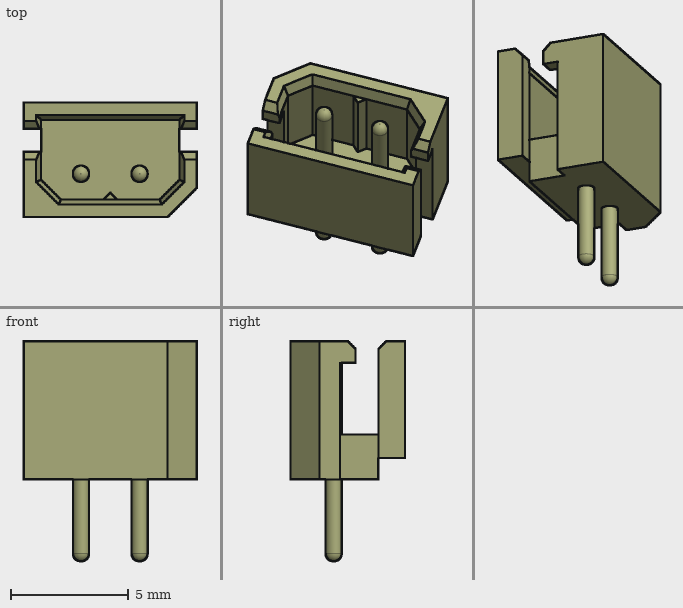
import cadquery as cq
import math

width = 7.4
depth = 4.9
height = 5.9
pin_row_from_back = 3.05
back = pin_row_from_back
front = back - depth
key_corner_leg = 1.25

wall = 0.75
floor_z = 1.92
cavity_corner_leg = 0.84
lead_in_width = 0.21
lead_in_depth = 0.5
rib_height = 0.29

back_wall_depth = 1.14
slot_mouth = 0.97
hook_reach = 0.66
hook_height = 0.93
slot_chamfer = 0.34

step_height = 0.9

pin_diameter = 0.7
pin_pitch = 2.5
pin_count = 2
pin_bottom = -3.5
pin_top = 5.4
pin_end_round = 0.34

cavity_half_width = width / 2 - wall
cavity_back = back - wall
cavity_front = front + wall
lead_in_bottom = height - lead_in_depth
slot_back = back - back_wall_depth
hook_tip = slot_back - slot_mouth
slot_front = hook_tip - hook_reach


def make_shell():
    """Plain outer block with its one keyed vertical corner."""
    block = cq.Workplane("XY").box(width, depth, height, centered=(True, False, False))
    block = block.translate((0, front, 0))
    return block.edges("|Z and >X and <Y").chamfer(key_corner_leg)


def cavity_outline(offset):
    """Cavity corner points, moved outward from the lower cavity by offset."""
    half = cavity_half_width + offset
    y_back = cavity_back + offset
    y_front = cavity_front - offset
    leg = cavity_corner_leg + offset * (2 - math.sqrt(2))
    return [
        (-half, y_back),
        (half, y_back),
        (half, y_front + leg),
        (half - leg, y_front),
        (-half + leg, y_front),
        (-half, y_front + leg),
    ]


def make_cavity():
    """Straight cavity with a sloped lead-in at its mouth."""
    straight = cq.Workplane("XY", origin=(0, 0, floor_z))
    straight = straight.polyline(cavity_outline(0)).close().extrude(height - floor_z)
    mouth = (
        cq.Workplane("XY", origin=(0, 0, lead_in_bottom))
        .polyline(cavity_outline(0))
        .close()
        .workplane(offset=lead_in_depth)
        .polyline(cavity_outline(lead_in_width))
        .close()
        .loft(ruled=True)
    )
    return straight.union(mouth)


def make_side_slot(side):
    """Slot through one side wall; it leaves a hook at the top of the front part."""
    outline = [
        (slot_back, 0),
        (slot_back, height - slot_chamfer),
        (slot_back + slot_chamfer, height),
        (hook_tip - slot_chamfer, height),
        (hook_tip, height - slot_chamfer),
        (hook_tip, height - hook_height),
        (slot_front, height - hook_height),
        (slot_front, 0),
    ]
    slot = cq.Workplane("YZ", origin=(side * cavity_half_width, 0, 0))
    return slot.polyline(outline).close().extrude(side * wall)


def make_back_step():
    """Clearance under the back wall, across the full width."""
    step = cq.Workplane("XY").box(width, back_wall_depth, step_height, centered=(True, False, False))
    return step.translate((0, slot_back, 0))


def make_rib():
    """Triangular rib on the inside of the front wall, up to the lead-in."""
    outline = [
        (-rib_height, cavity_front),
        (rib_height, cavity_front),
        (0, cavity_front + rib_height),
    ]
    rib = cq.Workplane("XY", origin=(0, 0, floor_z))
    return rib.polyline(outline).close().extrude(lead_in_bottom - floor_z)


def make_pin(x):
    """Round pin with domed ends, running through the floor."""
    pin = cq.Workplane("XY", origin=(x, 0, pin_bottom))
    pin = pin.circle(pin_diameter / 2).extrude(pin_top - pin_bottom)
    return pin.edges("%CIRCLE").fillet(pin_end_round)


result = make_shell().cut(make_cavity()).cut(make_back_step())
for side in (-1, 1):
    result = result.cut(make_side_slot(side))
result = result.union(make_rib())
for index in range(pin_count):
    pin_x = (index - (pin_count - 1) / 2) * pin_pitch
    result = result.union(make_pin(pin_x))